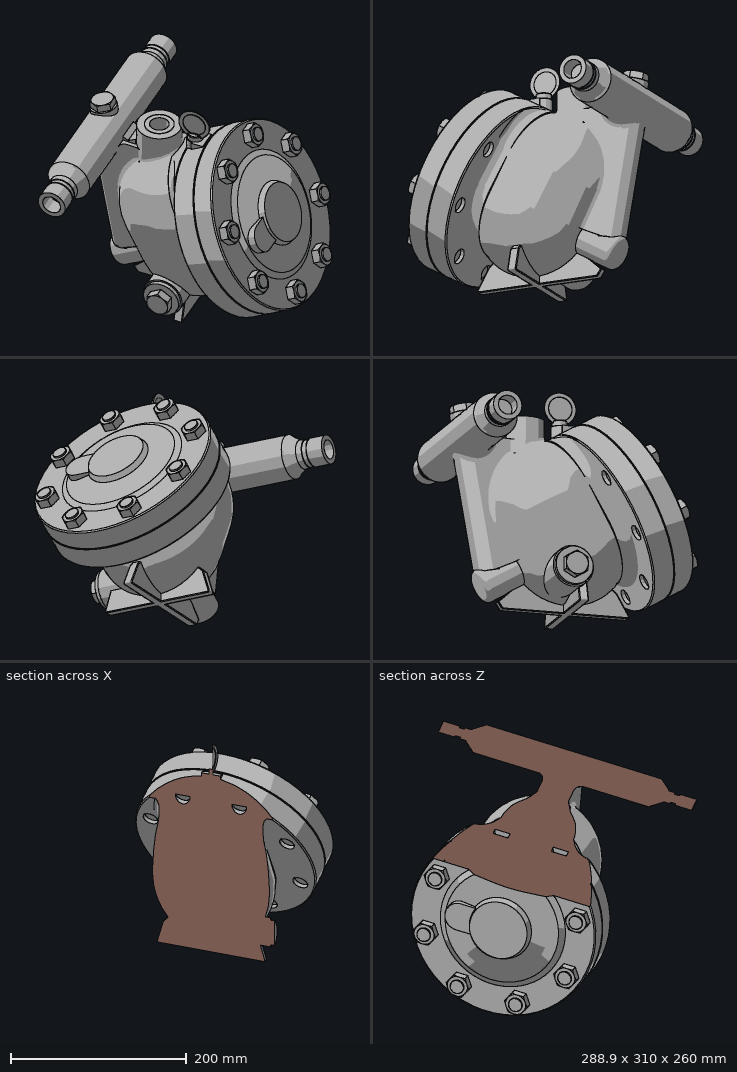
import cadquery as cq
import math

FLANGE_TILT = math.radians(30)
FLANGE_AXIS = cq.Vector(math.cos(FLANGE_TILT), 0, math.sin(FLANGE_TILT))
FLANGE_PLANE = cq.Plane(origin=(0, 0, 0), xDir=(0, 1, 0), normal=FLANGE_AXIS.toTuple())

BOWL_RADIUS = 74.0
BOWL_LENGTH = 48.0
BOWL_LEAN = math.radians(27)
BOWL_X = -0.8
BOWL_Z = 83.3

NECK_START = 74.0
NECK_RADIUS = 67.3
NECK_FLARE = 10.0
NECK_LOW = 73.6
NECK_HIGH = 122.0

FLANGE_DIAMETER = 222.0
FLANGE_CENTRE = 76.5
FLANGE_BACK = 88.7
JOINT_START = 117.0
JOINT_WIDTH = 1.0
JOINT_DEPTH = 1.0
COVER_FACE = 144.0
FLANGE_CHAMFER = 1.5

STUD_COUNT = 8
STUD_CIRCLE = 186.0
STUD_DIAMETER = 16.0
STUD_END = 156.6
NUT_FLATS = 24.0
NUT_HEIGHT = 10.5
STUD_HOLE_DIAMETER = 18.0
STUD_HOLE_DEPTH = 5.0

DOME_FOOT = (75.0, 0.0)
DOME_SHOULDER = (68.0, 4.0)
DOME_CREST = (56.0, 6.0)
HUB_FOOT = (37.5, 10.0)
HUB_TOP = (34.5, 17.0)
COVER_RIB_WIDTH = 33.0
COVER_RIB_REACH = 66.0
COVER_RIB_HEIGHT = 14.0

PIPE_X = -118.37
PIPE_Z = 199.8
PIPE_DIAMETER = 52.0
PIPE_HALF_LENGTH = 155.0
PIPE_BODY_HALF = 107.5
PIPE_STEP_DIAMETER = 48.0
PIPE_STEP_WIDTH = 2.0
CONE_END = 121.0
GROOVE_START = 128.5
GROOVE_END = 134.5
GROOVE_DIAMETER = 32.0
SPIGOT_DIAMETER = 34.0
SOCKET_DIAMETER = 22.2
SOCKET_DEPTH = 20.0

LEG_LEAN = math.radians(10)
LEG_RADIUS = 19.5
LEG_LENGTH = 160.0
LEG_FILLET = 7.0
PIPE_FILLET = 8.0
WEB_DROP = 4.0
BRIDGE_WIDTH = 29.0
BRIDGE_DIP_Z = 199.6
BRIDGE_RISE = 5.0
BRIDGE_OVERLAP = 3.0
ELBOW_START = -78.3
ELBOW_ACROSS = 72.5
ELBOW_DIAMETER = 41.0
ELBOW_FILLET = 5.4

PORT_X = -53.5
PORT_TOP = 223.7
PORT_DIAMETER = 52.0
PORT_LIP_DIAMETER = 34.0
PORT_LIP_HEIGHT = 0.5
PORT_FILLET = 5.0

PLUG_FLATS = 26.0
PIPE_PLUG_WASHER_DIAMETER = 32.0
PIPE_PLUG_SEAT = 29.0
PIPE_PLUG_TOP = 38.0
DRAIN_X = -15.3
DRAIN_Z = 37.9
DRAIN_BOSS_DIAMETER = 48.0
DRAIN_BOSS_END = 75.4
DRAIN_WASHER_DIAMETER = 44.0
DRAIN_WASHER_END = 80.5
DRAIN_PLUG_END = 91.0

EYE_X = -8.4
EYE_Y = -2.8
EYE_Z = 240.96
EYE_RADIUS = 19.0
EYE_THICKNESS = 2.0
EYE_DISH_RADIUS = 14.0
EYE_DISH_DEPTH = 0.8
EYE_BOSS_DIAMETER = 20.0
EYE_BOSS_TOP = 220.0
EYE_BOSS_DEPTH = 30.0
EYE_STEM_DIAMETER = 18.0
EYE_STEM_TOP = 227.0
EYE_STEM_CHAMFER = 1.0
EYE_PAD_WIDTH = 24.0
EYE_PAD_END = 6.0

FOOT_THICKNESS = 11.0
FOOT_CORNER = 2.0
FOOT_CHAMFER = 1.0
FOOT_FRONT = 74.8
FOOT_BACK = -78.0
FOOT_BACK_FLARE = (-83.7, 8.3)
FOOT_SIDE = 68.6
FOOT_SLOPE_X = 16.0
FOOT_SLOPE_Y = 8.5
FOOT_SLOPE_Z = 28.0


def polar_xz(length, angle):
    """Point at a distance from the origin, angle measured from +Z toward -X."""
    return (-length * math.sin(angle), length * math.cos(angle))


def flange_work(along, across=0.0):
    """Workplane square to the flange axis."""
    return cq.Workplane(FLANGE_PLANE).workplane(offset=along).center(0, across)


def radial_plane(across, along=0.0):
    """Plane through a line parallel to the flange axis: x = global Y, y = along the axis."""
    return cq.Plane(
        origin=FLANGE_PLANE.toWorldCoords((0, across, along)), xDir=(0, 1, 0),
        normal=(-FLANGE_PLANE.yDir).toTuple())


def flange_disc(diameter, start, end, across=FLANGE_CENTRE):
    return flange_work(start, across).circle(diameter / 2).extrude(end - start)


def hexagon(work, flats, height):
    """Hexagonal prism with its outer corners turned off."""
    corner_diameter = flats / math.cos(math.pi / 6)
    corner_depth = corner_diameter - flats
    prism = work.polygon(6, corner_diameter).extrude(height)
    outer_face = cq.DirectionMinMaxSelector(work.plane.zDir, True)
    turned = work.circle(corner_diameter / 2).extrude(height)
    turned = turned.faces(outer_face).chamfer(corner_depth / 4, corner_depth / 2)
    return prism.intersect(turned)


def bowl():
    top = BOWL_LENGTH + BOWL_RADIUS
    diagonal = BOWL_RADIUS * math.sqrt(0.5)
    profile = (
        cq.Workplane("XZ")
        .moveTo(0, -BOWL_RADIUS)
        .threePointArc((diagonal, -diagonal), (BOWL_RADIUS, 0))
        .lineTo(BOWL_RADIUS, BOWL_LENGTH)
        .threePointArc((diagonal, BOWL_LENGTH + diagonal), (0, top))
        .close()
    )
    capsule = profile.revolve(360, (0, 0, 0), (0, 1, 0))
    leaned = capsule.rotate((0, 0, 0), (0, 1, 0), -math.degrees(BOWL_LEAN))
    return leaned.translate((BOWL_X, 0, BOWL_Z))


def neck_profile(plane):
    """Half section of the neck flare, radius against distance along the flange axis."""
    depth = FLANGE_BACK - NECK_START
    sag = 1 - math.sqrt(0.5)
    return (
        cq.Workplane(plane)
        .moveTo(0, NECK_START - depth)
        .lineTo(NECK_RADIUS - NECK_FLARE, NECK_START - depth)
        .lineTo(NECK_RADIUS, NECK_START)
        .threePointArc(
            (NECK_RADIUS + NECK_FLARE * sag, FLANGE_BACK - depth * sag),
            (NECK_RADIUS + NECK_FLARE, FLANGE_BACK))
        .lineTo(0, FLANGE_BACK)
        .close()
    )


def neck():
    """Stadium-shaped flare, cut off where it would pass the flange rim."""
    low_plane = radial_plane(NECK_LOW)
    high_plane = radial_plane(NECK_HIGH)
    half = neck_profile(low_plane).extrude(NECK_LOW - NECK_HIGH)
    flare = neck_profile(low_plane).revolve(360, (0, 0, 0), (0, 1, 0))
    flare = flare.union(half).union(half.mirror("XZ"))
    flare = flare.union(neck_profile(high_plane).revolve(360, (0, 0, 0), (0, 1, 0)))
    return flare.intersect(flange_disc(FLANGE_DIAMETER, 0, COVER_FACE))


def flanges():
    """Body flange and cover as one disc, with a fine groove marking the joint."""
    body = flange_disc(FLANGE_DIAMETER, FLANGE_BACK, COVER_FACE)
    body = body.edges().chamfer(FLANGE_CHAMFER)
    joint_end = JOINT_START + JOINT_WIDTH
    groove = flange_disc(FLANGE_DIAMETER, JOINT_START, joint_end)
    groove = groove.cut(flange_disc(FLANGE_DIAMETER - 2 * JOINT_DEPTH, JOINT_START, joint_end))
    return body.cut(groove)


def cover_dome():
    """Stepped dome and hub on the cover, with a round-ended rib toward -Y."""
    hub_height = HUB_TOP[1]
    outline = [(0, 0), DOME_FOOT, DOME_SHOULDER, DOME_CREST, HUB_FOOT, HUB_TOP, (0, hub_height)]
    section = cq.Workplane(radial_plane(FLANGE_CENTRE, COVER_FACE)).polyline(outline).close()
    dome = section.revolve(360, (0, 0, 0), (0, 1, 0))
    straight = COVER_RIB_REACH - COVER_RIB_WIDTH / 2
    rib = (
        flange_work(COVER_FACE, FLANGE_CENTRE)
        .center(-straight / 2, 0)
        .slot2D(straight + COVER_RIB_WIDTH, COVER_RIB_WIDTH)
        .extrude(COVER_RIB_HEIGHT)
    )
    return dome.union(rib)


def stud_places():
    radius = STUD_CIRCLE / 2
    for index in range(STUD_COUNT):
        angle = 2 * math.pi * (index + 0.5) / STUD_COUNT
        yield (radius * math.cos(angle), FLANGE_CENTRE + radius * math.sin(angle))


def stud_and_nut(place):
    work = flange_work(COVER_FACE).center(*place)
    stud = work.circle(STUD_DIAMETER / 2).extrude(STUD_END - COVER_FACE)
    return hexagon(work, NUT_FLATS, NUT_HEIGHT).union(stud)


def stud_hole(place):
    work = flange_work(FLANGE_BACK).center(*place)
    return work.circle(STUD_HOLE_DIAMETER / 2).extrude(STUD_HOLE_DEPTH)


def cross_pipe():
    body = PIPE_DIAMETER / 2
    step = PIPE_STEP_DIAMETER / 2
    spigot = SPIGOT_DIAMETER / 2
    groove = GROOVE_DIAMETER / 2
    half = [
        (body, PIPE_BODY_HALF),
        (step, PIPE_BODY_HALF + PIPE_STEP_WIDTH),
        (spigot, CONE_END),
        (spigot, GROOVE_START),
        (groove, GROOVE_START),
        (groove, GROOVE_END),
        (spigot, GROOVE_END),
        (spigot, PIPE_HALF_LENGTH),
        (0, PIPE_HALF_LENGTH),
    ]
    mirrored = [(radius, -along) for radius, along in reversed(half)]
    pipe = cq.Workplane("XY").polyline(mirrored + half).close().revolve(360, (0, 0, 0), (0, 1, 0))
    return pipe.translate((PIPE_X, 0, PIPE_Z))


def pipe_socket(side):
    start = (PIPE_X, side * PIPE_HALF_LENGTH, PIPE_Z)
    work = cq.Workplane(cq.Plane(origin=start, xDir=(1, 0, 0), normal=(0, -side, 0)))
    return work.circle(SOCKET_DIAMETER / 2).extrude(SOCKET_DEPTH)


def leg_work(offset):
    """Workplane square to the leg axis, offset upward from the pipe centre."""
    up_x, up_z = polar_xz(1, LEG_LEAN)
    plane = cq.Plane(origin=(PIPE_X, 0, PIPE_Z), xDir=(0, 1, 0), normal=(up_x, 0, up_z))
    return cq.Workplane(plane).workplane(offset=offset)


def leg():
    """Round leg with a web of the same width filling the gap to the bowl and the port."""
    down_x, down_z = polar_xz(-LEG_LENGTH, LEG_LEAN)
    rise_x, rise_z = polar_xz(BOWL_LENGTH, BOWL_LEAN)
    outline = [
        (PIPE_X, PIPE_Z),
        (PIPE_X + down_x, PIPE_Z + down_z),
        (BOWL_X, BOWL_Z),
        (BOWL_X + rise_x, BOWL_Z + rise_z),
        (PORT_X, PIPE_Z - WEB_DROP),
    ]
    web = cq.Workplane("XZ").polyline(outline).close().extrude(LEG_RADIUS, both=True)
    return web.union(leg_work(0).circle(LEG_RADIUS).extrude(-LEG_LENGTH))


def elbow():
    tube = flange_disc(ELBOW_DIAMETER, ELBOW_START, 0, ELBOW_ACROSS)
    return tube.faces(cq.DirectionMinMaxSelector(FLANGE_AXIS, False)).edges().fillet(ELBOW_FILLET)


def port():
    base = BOWL_Z + BOWL_LENGTH
    work = cq.Workplane("XY").workplane(offset=base).center(PORT_X, 0)
    return work.circle(PORT_DIAMETER / 2).extrude(PORT_TOP - base)


def port_lip():
    work = cq.Workplane("XY").workplane(offset=PORT_TOP).center(PORT_X, 0)
    return work.circle(PORT_LIP_DIAMETER / 2).extrude(PORT_LIP_HEIGHT)


def port_socket():
    work = cq.Workplane("XY").workplane(offset=PORT_TOP + PORT_LIP_HEIGHT).center(PORT_X, 0)
    return work.circle(SOCKET_DIAMETER / 2).extrude(-SOCKET_DEPTH)


def pipe_plug():
    washer = leg_work(0).circle(PIPE_PLUG_WASHER_DIAMETER / 2).extrude(PIPE_PLUG_SEAT)
    return washer.union(hexagon(leg_work(PIPE_PLUG_SEAT), PLUG_FLATS, PIPE_PLUG_TOP - PIPE_PLUG_SEAT))


def drain_work(reach):
    """Workplane facing -Y on the drain axis."""
    origin = (DRAIN_X, -reach, DRAIN_Z)
    return cq.Workplane(cq.Plane(origin=origin, xDir=(0, 0, 1), normal=(0, -1, 0)))


def drain_boss():
    return drain_work(0).circle(DRAIN_BOSS_DIAMETER / 2).extrude(DRAIN_BOSS_END)


def drain_plug():
    washer = drain_work(DRAIN_BOSS_END).circle(DRAIN_WASHER_DIAMETER / 2)
    washer = washer.extrude(DRAIN_WASHER_END - DRAIN_BOSS_END)
    return washer.union(hexagon(drain_work(DRAIN_WASHER_END), PLUG_FLATS, DRAIN_PLUG_END - DRAIN_WASHER_END))


def lifting_eye():
    """Dished disc on a short stem, standing on a boss that a pad ties to the flange rim."""
    base = EYE_BOSS_TOP - EYE_BOSS_DEPTH
    work = cq.Workplane("XY").workplane(offset=base).center(EYE_X, 0)
    boss = work.circle(EYE_BOSS_DIAMETER / 2).extrude(EYE_BOSS_DEPTH)
    stem = work.circle(EYE_STEM_DIAMETER / 2).extrude(EYE_STEM_TOP - base)
    stem = stem.faces(">Z").chamfer(EYE_STEM_CHAMFER)
    pad = cq.Workplane("XY").box(
        EYE_PAD_END - EYE_X, EYE_PAD_WIDTH, EYE_BOSS_DEPTH, centered=(False, True, False))
    pad = pad.translate((EYE_X, 0, base))
    face = cq.Workplane("XZ", origin=(EYE_X, EYE_Y - EYE_THICKNESS / 2, EYE_Z))
    disc = face.circle(EYE_RADIUS).extrude(-EYE_THICKNESS)
    dish = face.circle(EYE_DISH_RADIUS).extrude(-EYE_DISH_DEPTH)
    return boss.union(pad).union(disc.cut(dish)).union(stem)


def foot():
    """Lengthwise and crosswise plates under the bowl, both with sloping ends."""
    lengthwise = [
        (FOOT_BACK, 0),
        (FOOT_FRONT, 0),
        (FOOT_FRONT - FOOT_SLOPE_X, FOOT_SLOPE_Z),
        (BOWL_X, BOWL_Z),
        FOOT_BACK_FLARE,
    ]
    crosswise = [
        (-FOOT_SIDE, 0),
        (FOOT_SIDE, 0),
        (FOOT_SIDE - FOOT_SLOPE_Y, FOOT_SLOPE_Z),
        (0, BOWL_Z),
        (-FOOT_SIDE + FOOT_SLOPE_Y, FOOT_SLOPE_Z),
    ]
    long_plate = cq.Workplane("XZ").polyline(lengthwise).close().extrude(FOOT_THICKNESS / 2, both=True)
    long_plate = long_plate.edges("|Y and <Z").fillet(FOOT_CORNER).faces("|Y").edges().chamfer(FOOT_CHAMFER)
    cross_plate = cq.Workplane("YZ").polyline(crosswise).close().extrude(FOOT_THICKNESS / 2, both=True)
    cross_plate = cross_plate.edges("|X and <Z").fillet(FOOT_CORNER).faces("|X").edges().chamfer(FOOT_CHAMFER)
    return long_plate.union(cross_plate)


def bowl_with_port():
    joined = bowl().union(port())
    return joined.edges("%BSPLINE").fillet(PORT_FILLET)


def bridge():
    """Low saddle on top of the web, dipping midway between the cross pipe and the port."""
    pipe_end = PIPE_X + PIPE_DIAMETER / 2 - BRIDGE_OVERLAP
    port_end = PORT_X - PORT_DIAMETER / 2 + BRIDGE_OVERLAP
    middle = (pipe_end + port_end) / 2
    low = BRIDGE_DIP_Z - BRIDGE_RISE
    high = BRIDGE_DIP_Z + BRIDGE_RISE
    outline = [(pipe_end, low), (port_end, low), (port_end, high), (middle, BRIDGE_DIP_Z), (pipe_end, high)]
    return cq.Workplane("XZ").polyline(outline).close().extrude(BRIDGE_WIDTH / 2, both=True)


def casting():
    """Bowl, port, leg and cross pipe, with the web blended into the bowl and the pipe."""
    joined = bowl_with_port().union(leg())
    rise_x, rise_z = polar_xz(1, BOWL_LEAN)
    along_bowl = cq.ParallelDirSelector(cq.Vector(rise_x, 0, rise_z))
    web_seams = cq.selectors.BoxSelector(
        (PIPE_X, -LEG_RADIUS - 1, 0), (BOWL_X, LEG_RADIUS + 1, PIPE_Z))
    joined = joined.edges(along_bowl).edges(web_seams).fillet(LEG_FILLET)
    joined = joined.union(cross_pipe())
    reach = PIPE_DIAMETER / 2
    under_pipe = cq.selectors.BoxSelector(
        (PIPE_X - reach, -LEG_RADIUS - 1, PIPE_Z - reach),
        (PIPE_X + reach, LEG_RADIUS + 1, PIPE_Z - reach / 2))
    joined = joined.edges(under_pipe).edges("%CIRCLE or %BSPLINE").fillet(PIPE_FILLET)
    return joined.union(bridge())


result = casting().union(neck()).union(flanges())
for feature in (elbow(), drain_boss(), foot(), lifting_eye(), port_lip()):
    result = result.union(feature)
for feature in (cover_dome(), pipe_plug(), drain_plug()):
    result = result.union(feature)
for stud_place in stud_places():
    result = result.union(stud_and_nut(stud_place)).cut(stud_hole(stud_place))
for pipe_end in (1, -1):
    result = result.cut(pipe_socket(pipe_end))
result = result.cut(port_socket())